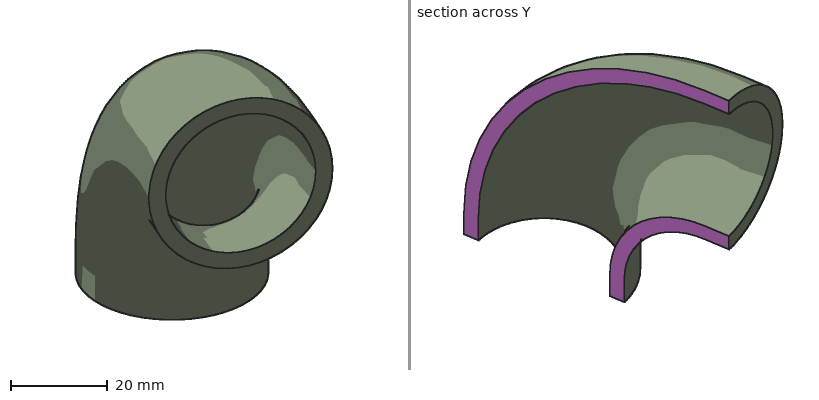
import cadquery as cq

overall_length = 66.0
outer_diameter = 40.0
bore_diameter = 32.6
bend_radius = 40.0
bend_angle = 90.0

collar_length = overall_length - bend_radius - outer_diameter / 2


def elbow(diameter):
    """Solid round elbow rising from the origin along +Z and leaving along +X."""
    lower_collar = cq.Workplane("XY").circle(diameter / 2).extrude(collar_length)
    bend = (
        cq.Workplane("XY", origin=(0, 0, collar_length))
        .circle(diameter / 2)
        .revolve(bend_angle, (bend_radius, 0, 0), (bend_radius, 1, 0))
    )
    upper_collar = (
        cq.Workplane("YZ", origin=(bend_radius, 0, collar_length + bend_radius))
        .circle(diameter / 2)
        .extrude(collar_length)
    )
    return lower_collar.union(bend).union(upper_collar)


result = elbow(outer_diameter).cut(elbow(bore_diameter))